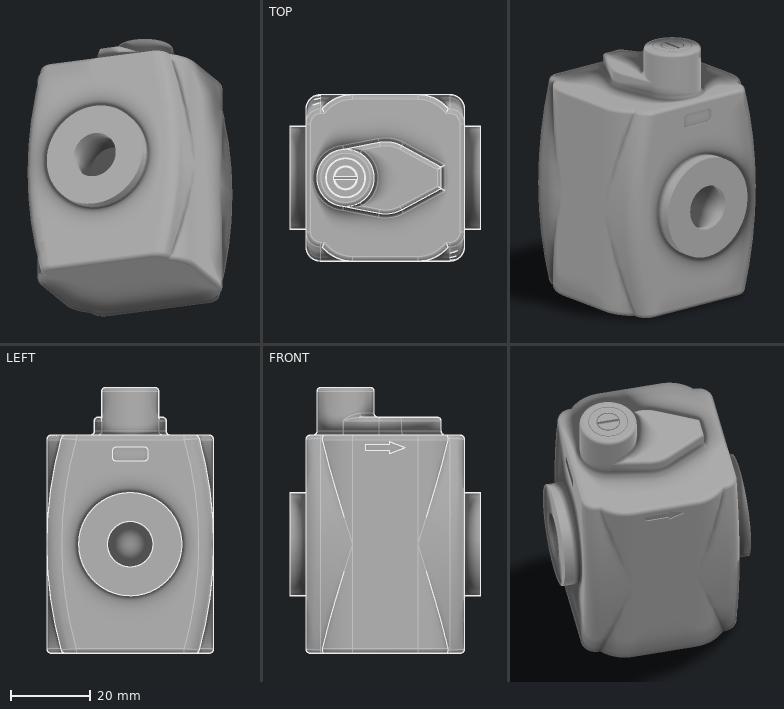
import cadquery as cq
import math

BODY_X = 40.0
BODY_Y = 42.0
BODY_Z = 55.0
BARREL_BOW_R = 100.0
BARREL_CORNER_R = 3.75
BAND_FLAT_HALF = 8.2
BAND_SIDE_R = 10.0
BODY_EDGE_R = 1.2

OVERALL_X = 48.0
PORT_D = 26.0
BORE_D = 11.45
BORE_DEPTH = 12.0

PIN_X = -10.0
PIN_D = 14.4
PIN_TOP_ABOVE_BODY = 12.0
PLATE_THICK = 4.5
PLATE_ROOT_R = 7.15
PLATE_ARC_CENTRE = (0.1, 0.6)
PLATE_ARC_R = 8.5
PLATE_END_X = 14.1
PLATE_END_HALF = 2.7
COVER_EDGE_R = 1.0

RING_OUTER_D = 10.0
RING_INNER_D = 9.7
SCREW_HOLE_D = 6.0
SCREW_D = 5.5
GROOVE_DEPTH = 0.5
SLOT_WIDTH = 0.8

MARK_DEPTH = 0.25
ARROW_TAIL_X = -5.0
ARROW_NECK_X = 1.1
ARROW_TIP_X = 5.0
ARROW_SHAFT_HALF = 0.75
ARROW_HEAD_HALF = 1.5
ARROW_Z = 24.3
PANEL_WIDTH = 9.0
PANEL_HEIGHT = 3.5
PANEL_CORNER_R = 1.0
PANEL_Z = 22.7

HALF_X = BODY_X / 2
HALF_Y = BODY_Y / 2
HALF_Z = BODY_Z / 2
PIN_R = PIN_D / 2
SELECT_MARGIN = 0.1
PIN_TOP_Z = HALF_Z + PIN_TOP_ABOVE_BODY
PLATE_TOP_Z = HALF_Z + PLATE_THICK


def make_barrel():
    """Block whose +Y and -Y faces bow outwards along Z, with rounded upright corners."""
    sag = BARREL_BOW_R - math.sqrt(BARREL_BOW_R ** 2 - HALF_Z ** 2)
    end_y = HALF_Y - sag
    block = (
        cq.Workplane("YZ")
        .moveTo(-end_y, -HALF_Z)
        .lineTo(end_y, -HALF_Z)
        .threePointArc((HALF_Y, 0), (end_y, HALF_Z))
        .lineTo(-end_y, HALF_Z)
        .threePointArc((-HALF_Y, 0), (-end_y, -HALF_Z))
        .close()
        .extrude(HALF_X, both=True)
    )
    end_faces = block.faces("<X or >X")
    return end_faces.edges("<Y or >Y").fillet(BARREL_CORNER_R)


def make_band():
    """Upright prism through the barrel: a flat with a large rounding on each side."""
    half_x = BAND_FLAT_HALF + BAND_SIDE_R
    return (
        cq.Workplane("XY", origin=(0, 0, -HALF_Z))
        .rect(2 * half_x, BODY_Y)
        .extrude(BODY_Z)
        .edges("|Z")
        .fillet(BAND_SIDE_R)
    )


def make_body():
    body = make_barrel().union(make_band())
    return body.faces("<Z or >Z").edges().fillet(BODY_EDGE_R)


def plate_outline():
    """Kite-like outline: sides nearly tangent to the pin, rounded at its widest, cut off square."""
    cx, cy = PLATE_ARC_CENTRE
    dx, dy = cx - PIN_X, cy
    lean = math.atan2(dy, dx) + math.asin((PLATE_ARC_R - PLATE_ROOT_R) / math.hypot(dx, dy))
    left = lean + math.pi / 2
    ex, ey = PLATE_END_X - cx, PLATE_END_HALF - cy
    right = math.atan2(ey, ex) + math.acos(PLATE_ARC_R / math.hypot(ex, ey))

    def on_arc(angle, side):
        return (cx + PLATE_ARC_R * math.cos(angle), side * (cy + PLATE_ARC_R * math.sin(angle)))

    middle = (left + right) / 2
    start_x = PIN_X + PLATE_ROOT_R * math.cos(left)
    start_y = PLATE_ROOT_R * math.sin(left)
    return (
        cq.Workplane("XY", origin=(0, 0, HALF_Z))
        .moveTo(start_x, start_y)
        .lineTo(*on_arc(left, 1))
        .threePointArc(on_arc(middle, 1), on_arc(right, 1))
        .lineTo(PLATE_END_X, PLATE_END_HALF)
        .lineTo(PLATE_END_X, -PLATE_END_HALF)
        .lineTo(*on_arc(right, -1))
        .threePointArc(on_arc(middle, -1), on_arc(left, -1))
        .lineTo(start_x, -start_y)
        .close()
    )


def make_cover():
    """Plate and pin above the body, rounded along their top edges and where they meet."""
    plate = plate_outline().extrude(PLATE_THICK)
    plate = plate.faces(">Z").edges("not <X").fillet(COVER_EDGE_R)
    pin = (
        cq.Workplane("XY", origin=(PIN_X, 0, HALF_Z))
        .circle(PIN_R)
        .extrude(PIN_TOP_ABOVE_BODY)
        .faces(">Z")
        .edges()
        .fillet(COVER_EDGE_R)
    )
    joint = cq.selectors.BoxSelector(
        (PIN_X, -PIN_R, PLATE_TOP_Z - SELECT_MARGIN),
        (PIN_X + PIN_R, PIN_R, PLATE_TOP_Z + SELECT_MARGIN),
    )
    return plate.union(pin).edges(joint).edges("%CIRCLE").fillet(COVER_EDGE_R)


def add_cover(body):
    """Set the cover on the body with a rounding all round its foot."""
    foot = cq.selectors.BoxSelector(
        (PIN_X - PIN_R - COVER_EDGE_R - SELECT_MARGIN, -BODY_Y / 4, HALF_Z - SELECT_MARGIN),
        (PLATE_END_X + SELECT_MARGIN, BODY_Y / 4, HALF_Z + SELECT_MARGIN),
    )
    return body.union(make_cover()).edges(foot).fillet(COVER_EDGE_R)


def make_ports():
    return cq.Workplane("YZ").circle(PORT_D / 2).extrude(OVERALL_X / 2, both=True)


def make_bores():
    """Blind bore from each port face."""
    bore = cq.Workplane("YZ", origin=(-OVERALL_X / 2, 0, 0)).circle(BORE_D / 2).extrude(BORE_DEPTH)
    return bore.union(bore.mirror("YZ"))


def make_pin_grooves():
    """Two fine ring grooves in the pin top and the driver slot inside the inner one."""
    top = cq.Workplane("XY", origin=(PIN_X, 0, PIN_TOP_Z))
    outer_ring = top.circle(RING_OUTER_D / 2).circle(RING_INNER_D / 2).extrude(-GROOVE_DEPTH)
    inner_ring = top.circle(SCREW_HOLE_D / 2).circle(SCREW_D / 2).extrude(-GROOVE_DEPTH)
    slot = top.circle(SCREW_D / 2).extrude(-GROOVE_DEPTH).intersect(
        top.rect(SCREW_HOLE_D, SLOT_WIDTH).extrude(-GROOVE_DEPTH)
    )
    return outer_ring.union(inner_ring).union(slot)


def make_flow_arrow():
    """Arrow pointing to +X, sunk into the -Y side."""
    return (
        cq.Workplane("XZ", origin=(0, -HALF_Y, ARROW_Z))
        .polyline([
            (ARROW_TAIL_X, ARROW_SHAFT_HALF),
            (ARROW_NECK_X, ARROW_SHAFT_HALF),
            (ARROW_NECK_X, ARROW_HEAD_HALF),
            (ARROW_TIP_X, 0),
            (ARROW_NECK_X, -ARROW_HEAD_HALF),
            (ARROW_NECK_X, -ARROW_SHAFT_HALF),
            (ARROW_TAIL_X, -ARROW_SHAFT_HALF),
        ])
        .close()
        .extrude(-MARK_DEPTH)
    )


def make_label_panel():
    """Rounded rectangular panel sunk into the -X side."""
    return (
        cq.Workplane("YZ", origin=(-HALF_X, 0, PANEL_Z))
        .rect(PANEL_WIDTH, PANEL_HEIGHT)
        .extrude(MARK_DEPTH)
        .edges("|X")
        .fillet(PANEL_CORNER_R)
    )


result = (
    add_cover(make_body())
    .union(make_ports())
    .cut(make_bores())
    .cut(make_pin_grooves())
    .cut(make_flow_arrow())
    .cut(make_label_panel())
)